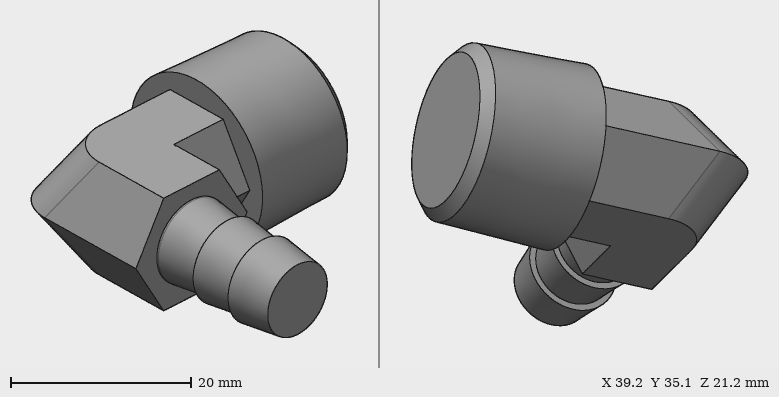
import cadquery as cq
import math


hex_corner_radius = 8.55
hex_half_height = hex_corner_radius * math.cos(math.radians(30))
hex_flat_half_width = hex_corner_radius / 2
bend_radius = 5.45
hose_arm_length = 11.55
plug_arm_length = 11.85

plug_end = 26.52
plug_base_radius = 10.6
plug_tip_radius = 10.2
plug_chamfer_length = 1.3
plug_chamfer_depth = 1.35

barb_count = 3
hose_end = 39.18 - plug_base_radius
collar_length = 0.25
barb_length = (hose_end - hose_arm_length - collar_length) / barb_count
barb_large_radius = 5.33
barb_small_radius = 4.6


def elbow_outline(body, half_width):
    """Draw the L-shaped section of the elbow, rounded at its outer corner."""
    bend_center = bend_radius - half_width
    bend_middle = bend_center - bend_radius * math.sqrt(0.5)
    return (
        body.moveTo(-half_width, plug_arm_length)
        .lineTo(-half_width, bend_center)
        .threePointArc((bend_middle, bend_middle), (bend_center, -half_width))
        .lineTo(hose_arm_length, -half_width)
        .lineTo(hose_arm_length, half_width)
        .lineTo(half_width, half_width)
        .lineTo(half_width, plug_arm_length)
        .close()
    )


def elbow_half():
    """Upper half of the body, from the hexagon corners to the top flat."""
    middle = elbow_outline(cq.Workplane("XY"), hex_corner_radius)
    top = elbow_outline(middle.workplane(offset=hex_half_height), hex_flat_half_width)
    return top.loft(ruled=True)


def elbow():
    upper = elbow_half()
    return upper.union(upper.mirror("XY"))


def plug():
    """Tapered plug with a chamfered end, turned about the Y axis."""
    return (
        cq.Workplane("XY")
        .moveTo(0, plug_arm_length)
        .lineTo(plug_base_radius, plug_arm_length)
        .lineTo(plug_tip_radius, plug_end - plug_chamfer_length)
        .lineTo(plug_tip_radius - plug_chamfer_depth, plug_end)
        .lineTo(0, plug_end)
        .close()
        .revolve(360, (0, 0), (0, 1))
    )


def hose_tail():
    """Short collar and a row of barbs narrowing outward, turned about the X axis."""
    barbs_start = hose_arm_length + collar_length
    profile = (
        cq.Workplane("XY")
        .moveTo(hose_arm_length, 0)
        .lineTo(hose_arm_length, barb_large_radius)
    )
    for index in range(barb_count):
        barb_start = barbs_start + index * barb_length
        profile = profile.lineTo(barb_start, barb_large_radius)
        profile = profile.lineTo(barb_start + barb_length, barb_small_radius)
    return profile.lineTo(hose_end, 0).close().revolve(360, (0, 0), (1, 0))


result = elbow().union(plug()).union(hose_tail())